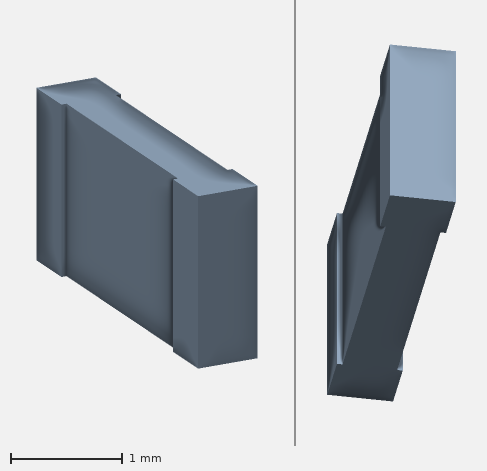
import cadquery as cq

length = 3.2
thickness = 0.6
height = 1.65

terminal_length = 0.495
step_depth = 0.05

body_length = length - 2 * terminal_length
body_thickness = thickness - 2 * step_depth


def terminal(side):
    """Full-thickness end block; side is -1 for the -X end, +1 for the +X end."""
    center_x = side * (length - terminal_length) / 2
    return cq.Workplane("XY").box(terminal_length, thickness, height).translate((center_x, 0, 0))


result = cq.Workplane("XY").box(body_length, body_thickness, height)
for side in (-1, 1):
    result = result.union(terminal(side))